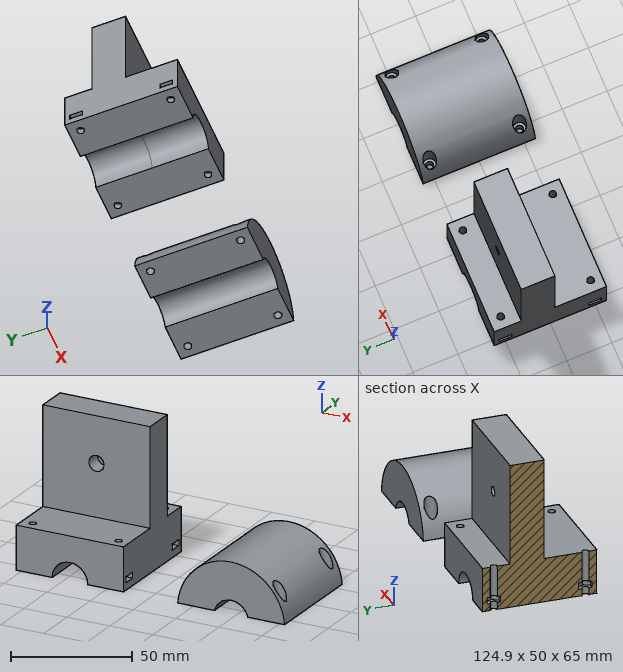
import cadquery as cq
import math

width = 50.0
screw_inset = 5.0
screw_offset = width / 2 - screw_inset
screw_points = [(x, y) for x in (-screw_offset, screw_offset) for y in (-screw_offset, screw_offset)]

base_height = 20.0
total_height = 65.0
wall_thickness = 15.0
wall_back_inset = 12.0
wall_center_y = width / 2 - wall_back_inset - wall_thickness / 2
base_groove_diameter = 16.5
base_screw_diameter = 3.0

wall_hole_height = 43.8
wall_hole_diameter = 4.0
wall_bore_diameter = 7.0
wall_bore_depth = 7.5

nut_flats = 5.6
nut_corners = nut_flats / math.cos(math.radians(30))
nut_slot_floor = 3.4
nut_slot_height = 2.6

total_length = 124.9
cap_radius = width / 2
cap_axis_drop = 2.0
cap_groove_diameter = 16.0
cap_half_width = math.sqrt(cap_radius**2 - cap_axis_drop**2)
cap_center_x = total_length - width / 2 - cap_half_width
cap_screw_diameter = 3.2
cap_bore_diameter = 5.6
cap_bore_floor = 5.0


def cylinder_along_y(diameter, axis_z):
    """Cylinder of the full Y length, centered on the YZ plane."""
    return (
        cq.Workplane("XZ", origin=(0, 0, axis_z))
        .circle(diameter / 2)
        .extrude(width / 2, both=True)
    )


def screw_cylinders(diameter, bottom_z, top_z):
    """Upright cylinders at the four screw positions."""
    return (
        cq.Workplane("XY", origin=(0, 0, bottom_z))
        .pushPoints(screw_points)
        .circle(diameter / 2)
        .extrude(top_z - bottom_z)
    )


def nut_slot(x, y):
    """Hexagonal nut seat on a screw axis, extended out to the nearest X side."""
    plane = cq.Workplane("XY", origin=(x, y, nut_slot_floor))
    seat = plane.polygon(6, nut_corners).extrude(nut_slot_height)
    channel_center = math.copysign(screw_inset / 2, x)
    channel = plane.center(channel_center, 0).rect(screw_inset, nut_flats).extrude(nut_slot_height)
    return seat.union(channel)


def wall_hole():
    """Through hole in the wall with a counterbore from the -Y face."""
    front_y = wall_center_y - wall_thickness / 2
    front = cq.Workplane("XZ", origin=(0, front_y, wall_hole_height))
    hole = front.circle(wall_hole_diameter / 2).extrude(-wall_thickness)
    bore = front.circle(wall_bore_diameter / 2).extrude(-wall_bore_depth)
    return hole.union(bore)


def make_base():
    block = cq.Workplane("XY").rect(width, width).extrude(base_height)
    wall = cq.Workplane("XY").center(0, wall_center_y).rect(width, wall_thickness).extrude(total_height)
    base = block.union(wall)
    base = base.cut(cylinder_along_y(base_groove_diameter, 0))
    base = base.cut(screw_cylinders(base_screw_diameter, 0, base_height))
    base = base.cut(wall_hole())
    for x, y in screw_points:
        base = base.cut(nut_slot(x, y))
    return base


def make_cap():
    cap = cylinder_along_y(2 * cap_radius, -cap_axis_drop)
    below = cq.Workplane("XY").rect(2 * width, 2 * width).extrude(-2 * cap_radius)
    cap = cap.cut(below)
    cap = cap.cut(cylinder_along_y(cap_groove_diameter, -cap_axis_drop))
    cap = cap.cut(screw_cylinders(cap_screw_diameter, 0, cap_radius))
    cap = cap.cut(screw_cylinders(cap_bore_diameter, cap_bore_floor, cap_radius))
    return cap.translate((cap_center_x, 0, 0))


base = make_base()
cap = make_cap()
result = cq.Compound.makeCompound([base.solids().val(), cap.solids().val()])